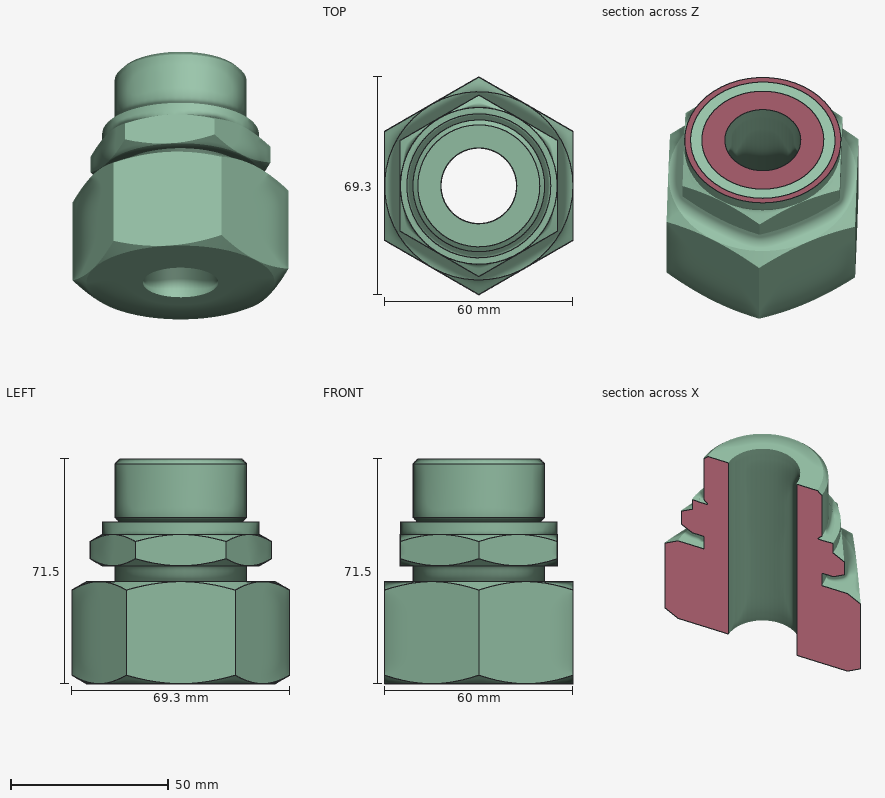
import cadquery as cq
import math

bore_diameter = 24.0

nut_height = 32.5
body_hex_bottom = 37.5
body_hex_top = 47.5
collar_top = 51.5
total_height = 71.5

nut_across_flats = 60.0
body_across_flats = 50.0

bevel_angle = 30.0
nut_face_diameter = 59.9
body_face_diameter = 49.9

thread_diameter = 41.91
thread_end_diameter = 38.8
neck_diameter = thread_diameter
collar_diameter = 49.84

seal_recess_diameter = 45.8
seal_recess_depth = 0.1

bevel_rim_clearance = 1.0

hexagon_half_angle = 30.0


def beveled_hexagon(across_flats, face_diameter, bottom, top):
    """Hexagon with corners on the Y axis, bevelled by a cone at both ends."""
    corner_diameter = across_flats / math.cos(math.radians(hexagon_half_angle))
    height = top - bottom
    prism = (
        cq.Workplane("XY", origin=(0, 0, bottom))
        .polygon(6, corner_diameter)
        .extrude(height)
        .rotate((0, 0, 0), (0, 0, 1), hexagon_half_angle)
    )
    face_radius = face_diameter / 2
    envelope_radius = corner_diameter / 2 + bevel_rim_clearance
    bevel_drop = (envelope_radius - face_radius) * math.tan(math.radians(bevel_angle))
    envelope = (
        cq.Workplane("XZ")
        .moveTo(0, bottom)
        .lineTo(face_radius, bottom)
        .lineTo(envelope_radius, bottom + bevel_drop)
        .lineTo(envelope_radius, top - bevel_drop)
        .lineTo(face_radius, top)
        .lineTo(0, top)
        .close()
        .revolve(360, (0, 0, 0), (0, 1, 0))
    )
    return prism.intersect(envelope)


def cylinder(diameter, bottom, top):
    return cq.Workplane("XY", origin=(0, 0, bottom)).circle(diameter / 2).extrude(top - bottom)


def collar():
    """Round collar with the seal recess sunk into its upper face."""
    recess = cylinder(seal_recess_diameter, collar_top - seal_recess_depth, collar_top)
    return cylinder(collar_diameter, body_hex_top, collar_top).cut(recess)


def threaded_end():
    """Plain cylinder for the thread, chamfered at 45 degrees at both ends."""
    chamfer = (thread_diameter - thread_end_diameter) / 2
    stud = cylinder(thread_diameter, collar_top - seal_recess_depth, total_height)
    return stud.faces("<Z or >Z").chamfer(chamfer)


nut = beveled_hexagon(nut_across_flats, nut_face_diameter, 0, nut_height)
neck = cylinder(neck_diameter, nut_height, body_hex_bottom)
body_hexagon = beveled_hexagon(body_across_flats, body_face_diameter, body_hex_bottom, body_hex_top)
bore = cylinder(bore_diameter, 0, total_height)

result = nut.union(neck).union(body_hexagon).union(collar()).union(threaded_end()).cut(bore)